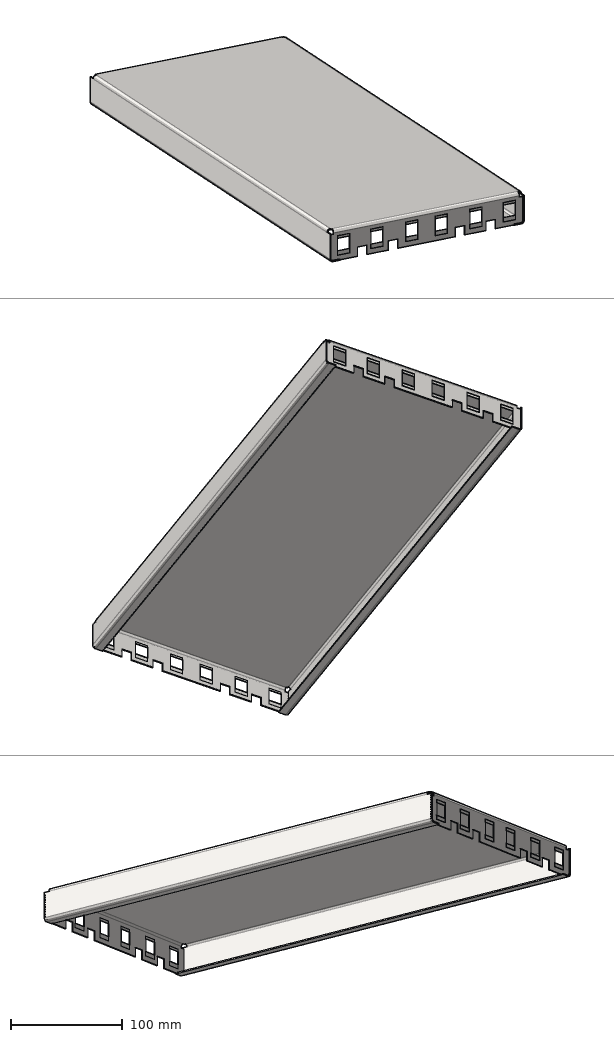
import cadquery as cq

length = 444.0
width = 199.0
height = 30.0
sheet = 1.2
bend_radius = 3.0
inner_radius = bend_radius - sheet

end_inset = 1.0
return_flange_width = 10.0

corner_relief = 1.5

window_width = 12.5
recess_bottom = 5.0
recess_top = 23.5
opening_bottom = 9.0
opening_top = 21.0
recess_depth = sheet / 2
window_offsets = (15.0, 50.5, 85.0)

notch_width = 9.8
notch_height = 9.0
notch_offsets = (34.0, 65.5)

half_length = length / 2
half_width = width / 2
end_face = half_length - end_inset
end_fold = end_face - bend_radius
side_fold = half_width - bend_radius
wall_top = height - bend_radius


def block(x_range, y_range, z_range):
    """Axis-aligned box between the given limits."""
    sizes = [high - low for low, high in (x_range, y_range, z_range)]
    corner = (x_range[0], y_range[0], z_range[0])
    return cq.Workplane("XY").box(*sizes, centered=False).translate(corner)


def quarter_fold(plane, centre, span, upward):
    """Quarter-ring fold bulging outward and either up or down, extruded symmetrically."""
    direction = 1 if upward else -1
    diagonal = 0.5 ** 0.5
    across, level = centre

    def on_arc(radius):
        return across + radius * diagonal, level + direction * radius * diagonal

    return (
        cq.Workplane(plane)
        .moveTo(across + inner_radius, level)
        .lineTo(across + bend_radius, level)
        .threePointArc(on_arc(bend_radius), (across, level + direction * bend_radius))
        .lineTo(across, level + direction * inner_radius)
        .threePointArc(on_arc(inner_radius), (across + inner_radius, level))
        .close()
        .extrude(span / 2, both=True)
    )


def long_side():
    """Long +Y side: top fold, wall, bottom fold and inward return flange."""
    x_range = (-half_length, half_length)
    fold_span = 2 * (end_fold - corner_relief)
    top_fold = quarter_fold("YZ", (side_fold, wall_top), fold_span, upward=True)
    bottom_fold = quarter_fold("YZ", (side_fold, bend_radius), length, upward=False)
    wall = block(x_range, (half_width - sheet, half_width), (bend_radius, wall_top))
    flange = block(x_range, (half_width - return_flange_width, side_fold), (0, sheet))
    return top_fold.union(wall).union(bottom_fold).union(flange)


def end_wall():
    """Flat +X end wall, seated on the return flanges, with windows and notches."""
    x_range = (end_face - sheet, end_face)
    between_walls = half_width - sheet
    between_flanges = half_width - return_flange_width
    fold_end = side_fold - corner_relief
    relief_floor = wall_top - corner_relief
    wall = block(x_range, (-between_walls, between_walls), (sheet, relief_floor))
    wall = wall.union(block(x_range, (-fold_end, fold_end), (relief_floor, wall_top)))
    wall = wall.union(block(x_range, (-between_flanges, between_flanges), (0, sheet)))

    recess_range = (end_face - recess_depth, end_face)
    for offset in window_offsets:
        for centre in (-offset, offset):
            y_range = (centre - window_width / 2, centre + window_width / 2)
            wall = wall.cut(block(recess_range, y_range, (recess_bottom, recess_top)))
            wall = wall.cut(block(x_range, y_range, (opening_bottom, opening_top)))
    for offset in notch_offsets:
        for centre in (-offset, offset):
            y_range = (centre - notch_width / 2, centre + notch_width / 2)
            wall = wall.cut(block(x_range, y_range, (0, notch_height)))
    return wall


def end_side():
    """Complete +X end: wall and its top fold, stopping short of the corners."""
    fold_span = 2 * (side_fold - corner_relief)
    fold = quarter_fold("XZ", (end_fold, wall_top), fold_span, upward=True)
    return fold.union(end_wall())


top_panel = block((-end_fold, end_fold), (-side_fold, side_fold), (height - sheet, height))
back = long_side()
right_end = end_side()

shelf = top_panel.union(back).union(back.mirror("XZ"))
shelf = shelf.union(right_end).union(right_end.mirror("YZ"))
result = shelf.translate((0, 0, -height / 2))